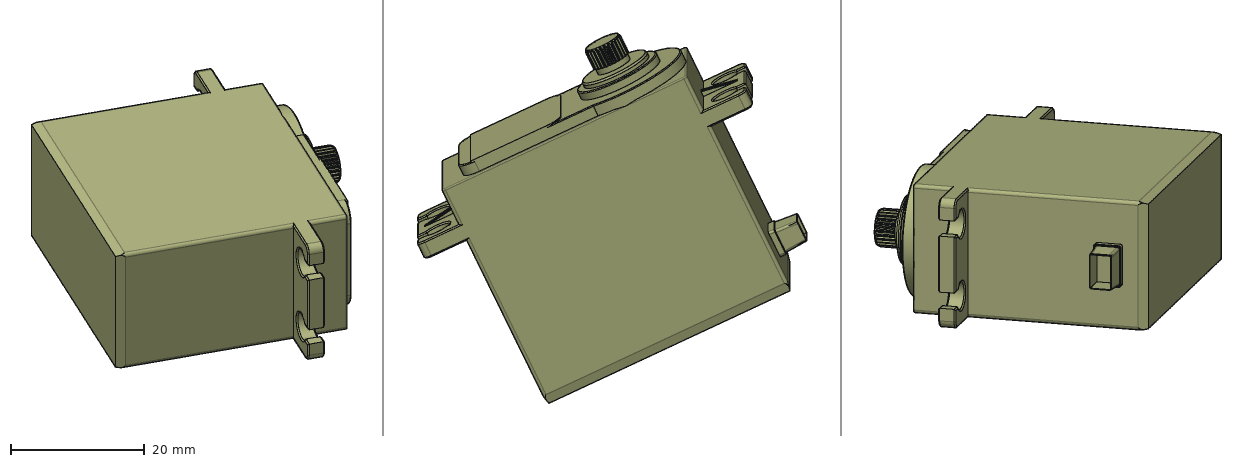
import cadquery as cq
import math


case_length = 40.55
case_width = 20.0
case_top = 36.4
case_corner_radius = 0.55
edge_radius = 0.2
base_height = 1.45
base_inset = 0.3

ear_span = 54.35
ear_bottom = 27.9
ear_thickness = 2.65
ear_top = ear_bottom + ear_thickness
ear_corner_radius = 1.2
ear_edge_break = 0.2
ear_hole_diameter = 4.25
ear_hole_spacing_x = 47.85
ear_hole_spacing_z = 11.2
ear_slot_width = 2.5
rib_width = 1.1
rib_height = 0.9
rib_length = 5.65
rib_edge_break = 0.1

shaft_x = -10.15
cap_radius = case_width / 2
cap_top = 38.2
cap_right = 16.7
cap_flat_width = 17.85
cap_corner_radius = 2.65
cap_chamfer = 0.15
pad_left = -0.4
pad_right = 14.55
pad_corner_radius = 2.35
pad_height = 0.15

collar_diameter = 13.1
collar_top = 39.5
collar_chamfer = 0.15
step_diameter = 10.7
step_top = 40.4
step_chamfer_height = 0.3
step_chamfer_inset = 0.15

neck_diameter = 5.35
spline_bottom = 41.35
shaft_top = 44.6
spline_diameter = 5.8
tooth_count = 25
spline_chamfer_height = 0.45
spline_chamfer_inset = 0.2

boot_y = 6.05
boot_flange_thickness = 1.05
boot_flange_size = (4.25, 6.45)
boot_length = 3.6
boot_base_size = (3.85, 6.0)
boot_tip_size = (3.4, 5.5)
boot_corner_radius = 0.4
boot_edge_break = 0.1
boot_opening_size = (3.15, 5.15)


def plane_at(y):
    """Workplane facing +Y at height y, with its local axes along +X and -Z."""
    return cq.Workplane(cq.Plane(origin=(0, y, 0), xDir=(1, 0, 0), normal=(0, 1, 0)))


def disc(diameter, bottom, top):
    return plane_at(bottom).center(shaft_x, 0).circle(diameter / 2).extrude(top - bottom)


def make_case():
    """Rounded block whose base is trimmed by four flat bevels that meet in sharp corners."""
    block = (
        plane_at(0)
        .rect(case_length, case_width)
        .extrude(case_top)
        .edges("|Y")
        .fillet(case_corner_radius)
        .faces(">Y")
        .edges()
        .fillet(edge_radius)
    )
    taper = math.degrees(math.atan2(base_inset, base_height))
    bevel = plane_at(base_height).rect(case_length, case_width).extrude(-base_height, taper=taper)
    above = plane_at(base_height).rect(case_length, case_width).extrude(case_top - base_height)
    return block.intersect(bevel.union(above))


def make_ears():
    """One plate that runs through the case, with its open holes cut from both ends."""
    ears = (
        plane_at(ear_bottom)
        .rect(ear_span, case_width)
        .extrude(ear_thickness)
        .edges("|Y")
        .fillet(ear_corner_radius)
    )
    holes = (
        plane_at(ear_bottom)
        .rarray(ear_hole_spacing_x, ear_hole_spacing_z, 2, 2)
        .circle(ear_hole_diameter / 2)
        .extrude(ear_thickness)
    )
    slot_length = (ear_span - ear_hole_spacing_x) / 2
    slots = (
        plane_at(ear_bottom)
        .rarray(ear_span - slot_length, ear_hole_spacing_z, 2, 2)
        .rect(slot_length, ear_slot_width)
        .extrude(ear_thickness)
    )
    return ears.cut(holes).cut(slots).faces("<Y or >Y").edges().chamfer(ear_edge_break)


def make_rib(side):
    """Triangular rib on the ear; side is -1 for the -X ear and 1 for the +X ear."""
    root_x = side * case_length / 2
    return (
        cq.Workplane("XY")
        .moveTo(root_x, ear_top)
        .lineTo(root_x, ear_top + rib_height)
        .lineTo(root_x + side * rib_length, ear_top)
        .close()
        .extrude(rib_width / 2, both=True)
        .edges("not(|X or |Y or |Z)")
        .chamfer(rib_edge_break)
    )


def make_cap():
    cap_bottom = case_top - edge_radius
    cap_height = cap_top - cap_bottom
    flat_length = cap_right - shaft_x
    bar = (
        plane_at(cap_bottom)
        .center(shaft_x + flat_length / 2, 0)
        .rect(flat_length, cap_flat_width)
        .extrude(cap_height)
        .edges("|Y and >X")
        .fillet(cap_corner_radius)
    )
    cap = disc(2 * cap_radius, cap_bottom, cap_top).union(bar)
    return cap.faces(">Y").edges().chamfer(cap_chamfer)


def make_pad():
    pad_length = pad_right - pad_left
    pad = (
        plane_at(cap_top - cap_chamfer)
        .center(pad_left + pad_length / 2, 0)
        .rect(pad_length, cap_flat_width)
        .extrude(cap_chamfer + pad_height)
    )
    return pad.edges("|Y and <X").fillet(pad_corner_radius)


def make_collar():
    collar = disc(collar_diameter, cap_top, collar_top).faces(">Y").edges().chamfer(collar_chamfer)
    step = (
        disc(step_diameter, collar_top, step_top)
        .faces(">Y")
        .edges()
        .chamfer(step_chamfer_height, step_chamfer_inset)
    )
    return collar.union(step)


def boot_section(x, size):
    """Rounded rectangle across the boot at x, on a workplane facing -X."""
    plane = cq.Plane(origin=(x, boot_y, 0), xDir=(0, -1, 0), normal=(-1, 0, 0))
    outline = cq.Sketch().rect(*size).vertices().fillet(boot_corner_radius)
    return cq.Workplane(plane).placeSketch(outline)


def make_boot():
    case_side = -case_length / 2
    boot_base = case_side - boot_flange_thickness
    flange = (
        boot_section(case_side, boot_flange_size)
        .extrude(boot_flange_thickness)
        .faces("<X")
        .edges()
        .chamfer(boot_edge_break)
    )
    base = cq.Sketch().rect(*boot_base_size).vertices().fillet(boot_corner_radius)
    tip = cq.Sketch().rect(*boot_tip_size).vertices().fillet(boot_corner_radius)
    base_plane = cq.Plane(origin=(boot_base, boot_y, 0), xDir=(0, -1, 0), normal=(-1, 0, 0))
    sleeve = (
        cq.Workplane(base_plane)
        .placeSketch(base, tip.moved(cq.Location(cq.Vector(0, 0, boot_length))))
        .loft()
        .faces("<X")
        .edges()
        .chamfer(boot_edge_break)
    )
    opening = cq.Workplane(base_plane).rect(*boot_opening_size).extrude(boot_length)
    return flange.union(sleeve).cut(opening)


def make_housing():
    housing = make_case().union(make_ears())
    for side in (-1, 1):
        housing = housing.union(make_rib(side))
    return housing.union(make_cap()).union(make_pad()).union(make_collar()).union(make_boot())


def spline_outline():
    """Points of the toothed section: every tooth has a flat tip and a flat valley down to the neck."""
    tip_radius = spline_diameter / 2
    root_radius = neck_diameter / 2
    point_step = 2 * math.pi / (4 * tooth_count)
    points = []
    for tooth in range(tooth_count):
        for corner, radius in enumerate((tip_radius, tip_radius, root_radius, root_radius)):
            angle = (4 * tooth + corner) * point_step
            points.append((radius * math.cos(angle), radius * math.sin(angle)))
    return points


def make_shaft():
    neck = disc(neck_diameter, step_top, spline_bottom)
    spline = (
        plane_at(spline_bottom)
        .center(shaft_x, 0)
        .polyline(spline_outline())
        .close()
        .extrude(shaft_top - spline_bottom)
    )
    envelope = (
        disc(spline_diameter, spline_bottom, shaft_top)
        .faces(">Y")
        .edges()
        .chamfer(spline_chamfer_height, spline_chamfer_inset)
    )
    return neck.union(spline.intersect(envelope))


housing = make_housing()
shaft = make_shaft()
result = cq.Compound.makeCompound([housing.val(), shaft.val()])